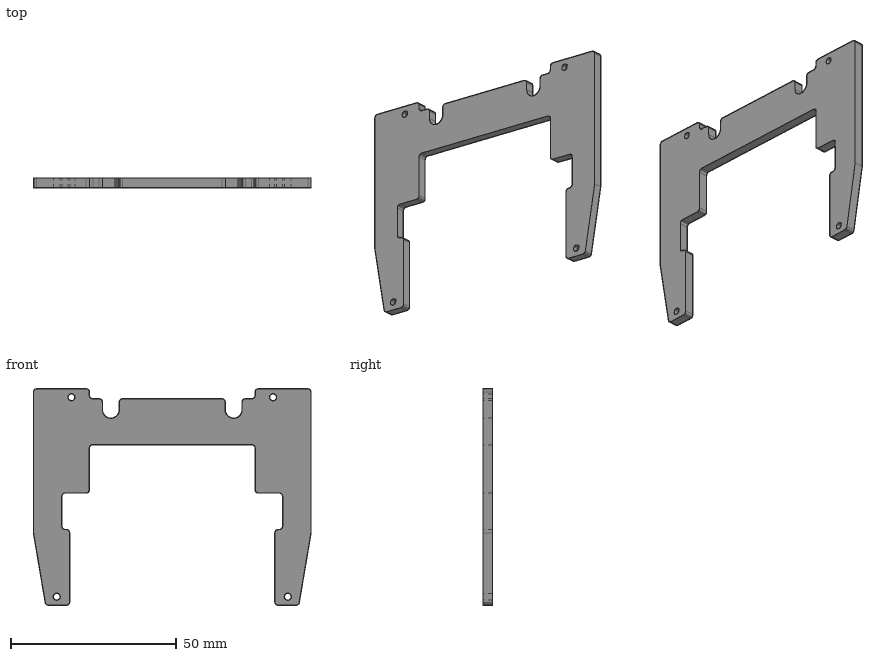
import cadquery as cq

WIDTH = 84.0
HEIGHT = 65.5
THICKNESS = 3.0
CORNER_RADIUS = 1.0

half_width = WIDTH / 2
top = HEIGHT / 2
bottom = -HEIGHT / 2

EAR_WIDTH = 17.0
BRIDGE_DROP = 3.0
BRIDGE_UNDERSIDE_DROP = 17.0

ear_inner_x = half_width - EAR_WIDTH
bridge_top = top - BRIDGE_DROP
bridge_underside = top - BRIDGE_UNDERSIDE_DROP

SHOULDER_DROP = 31.6
RELIEF_WALL = 8.65
FOOT_SHELF_DROP = 42.6
FOOT_INNER_INSET = 11.0
TAPER_START_DROP = 43.7
TAPER_INSET = 3.7

shoulder_z = top - SHOULDER_DROP
relief_x = half_width - RELIEF_WALL
foot_shelf_z = top - FOOT_SHELF_DROP
foot_inner_x = half_width - FOOT_INNER_INSET
taper_start_z = top - TAPER_START_DROP
foot_outer_x = half_width - TAPER_INSET

NOTCH_WIDTH = 5.0
NOTCH_DEPTH = 5.9
NOTCH_INSET = 23.4

notch_radius = NOTCH_WIDTH / 2
notch_x = half_width - NOTCH_INSET
notch_arc_z = bridge_top - NOTCH_DEPTH + notch_radius

HOLE_DIAMETER = 2.0
HOLE_EDGE_DISTANCE = 2.6
EAR_HOLE_INSET = 11.5
FOOT_HOLE_INSET = 7.05


TAPER_START = (half_width, taper_start_z)
RIGHT_CORNERS = [
    (ear_inner_x, bridge_top),
    (ear_inner_x, top),
    (half_width, top),
    TAPER_START,
    (foot_outer_x, bottom),
    (foot_inner_x, bottom),
    (foot_inner_x, foot_shelf_z),
    (relief_x, foot_shelf_z),
    (relief_x, shoulder_z),
    (ear_inner_x, shoulder_z),
    (ear_inner_x, bridge_underside),
]


def make_plate():
    """Sharp-cornered frame, symmetric about the YZ plane."""
    left_corners = [(-x, z) for x, z in reversed(RIGHT_CORNERS)]
    outline = cq.Workplane("XZ").polyline(RIGHT_CORNERS + left_corners).close()
    return outline.extrude(THICKNESS / 2, both=True)


def notch(center_x):
    """Cutter for one notch: straight walls down to a half-round bottom."""
    left = center_x - notch_radius
    right = center_x + notch_radius
    return (
        cq.Workplane("XZ")
        .moveTo(left, top)
        .lineTo(left, notch_arc_z)
        .threePointArc((center_x, notch_arc_z - notch_radius), (right, notch_arc_z))
        .lineTo(right, top)
        .close()
        .extrude(THICKNESS, both=True)
    )


def round_corners(plate):
    """Round the notch mouths and every outline corner except the shallow start of the taper."""
    notch_mouth = [(notch_x + side * notch_radius, bridge_top) for side in (-1, 1)]
    outline_corners = [corner for corner in RIGHT_CORNERS if corner != TAPER_START]
    for x, z in outline_corners + notch_mouth:
        for side in (-1, 1):
            corner = cq.selectors.NearestToPointSelector((side * x, 0, z))
            plate = plate.edges("|Y").edges(corner).fillet(CORNER_RADIUS)
    return plate


def drill_holes(plate):
    """One hole near the top of each ear and one near the bottom of each foot."""
    ear_hole = (half_width - EAR_HOLE_INSET, top - HOLE_EDGE_DISTANCE)
    foot_hole = (half_width - FOOT_HOLE_INSET, bottom + HOLE_EDGE_DISTANCE)
    centres = [(side * x, z) for side in (-1, 1) for x, z in (ear_hole, foot_hole)]
    drills = (
        cq.Workplane("XZ")
        .pushPoints(centres)
        .circle(HOLE_DIAMETER / 2)
        .extrude(THICKNESS, both=True)
    )
    return plate.cut(drills)


frame = make_plate().cut(notch(-notch_x)).cut(notch(notch_x))
result = drill_holes(round_corners(frame))